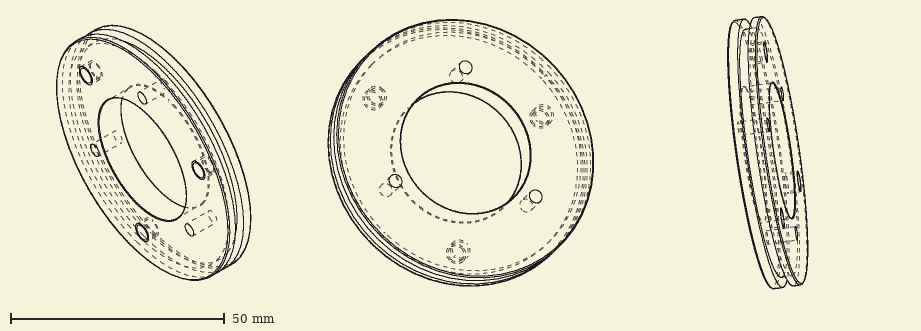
import cadquery as cq
import math

outer_radius = 31.75
thickness = 7.0
bore_radius = 16.0
front_land = 2.05
groove_width = 2.5
groove_radius = 29.35
rim_chamfer = 0.3
bore_chamfer = 0.2

hole_radius = 1.6
hole_circle_radius = 20.0
hole_angles = [90, 210, 330]
sleeve_outer_radius = 2.4
sleeve_inner_radius = 2.0
sleeve_length = 3.0
sleeve_circle_radius = 23.8
sleeve_angles = [30, 150, 270]

front_y = -thickness / 2
back_y = thickness / 2
groove_start_y = front_y + front_land
groove_end_y = groove_start_y + groove_width


def cylinder_along_y(radius, length, circle_radius, angle):
    """Cylinder running from the front face toward +Y, placed on a circle in XZ."""
    x = circle_radius * math.cos(math.radians(angle))
    z = circle_radius * math.sin(math.radians(angle))
    base = cq.Vector(x, front_y, z)
    return cq.Workplane(cq.Solid.makeCylinder(radius, length, base, cq.Vector(0, 1, 0)))


def make_ring():
    """Revolved ring with a rim groove, chamfered edges, through holes and annular sleeve recesses."""
    ring = (
        cq.Workplane("XY")
        .moveTo(bore_radius + bore_chamfer, front_y)
        .lineTo(outer_radius - rim_chamfer, front_y)
        .lineTo(outer_radius, front_y + rim_chamfer)
        .lineTo(outer_radius, groove_start_y)
        .lineTo(groove_radius, groove_start_y)
        .lineTo(groove_radius, groove_end_y)
        .lineTo(outer_radius, groove_end_y)
        .lineTo(outer_radius, back_y - rim_chamfer)
        .lineTo(outer_radius - rim_chamfer, back_y)
        .lineTo(bore_radius + bore_chamfer, back_y)
        .lineTo(bore_radius, back_y - bore_chamfer)
        .lineTo(bore_radius, front_y + bore_chamfer)
        .close()
        .revolve(360, (0, 0, 0), (0, 1, 0))
    )
    for angle in hole_angles:
        ring = ring.cut(cylinder_along_y(hole_radius, thickness, hole_circle_radius, angle))
    for angle in sleeve_angles:
        ring = ring.cut(make_sleeve(angle))
    return ring


def make_sleeve(angle):
    """Tube set flush into the front face around a core of ring material."""
    sleeve = cylinder_along_y(sleeve_outer_radius, sleeve_length, sleeve_circle_radius, angle)
    core = cylinder_along_y(sleeve_inner_radius, sleeve_length, sleeve_circle_radius, angle)
    return sleeve.cut(core)


ring = make_ring()
sleeves = [make_sleeve(angle) for angle in sleeve_angles]

result = cq.Compound.makeCompound([ring.val(), *[sleeve.val() for sleeve in sleeves]])